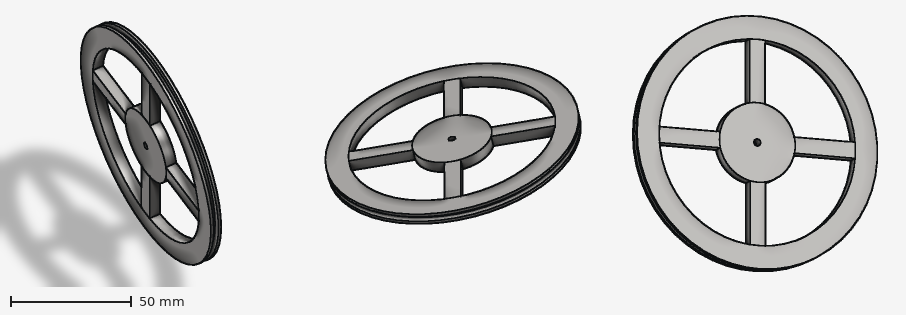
import cadquery as cq

OUTER_DIAMETER = 107.1
WIDTH = 5.0

RIM_INNER_DIAMETER = 87.4
GROOVE_DIAMETER = 101.6
GROOVE_WIDTH = 2.2

HUB_DIAMETER = 33.7
BORE_DIAMETER = 2.9

SPOKE_WIDTH = 6.9
RIGHT_SPOKE_Z = -0.2
LEFT_SPOKE_Z = 0.2
TOP_SPOKE_X = 0.0
BOTTOM_SPOKE_X = -0.2

SPOKE_PLACES = [
    (0, RIGHT_SPOKE_Z),
    (90, -TOP_SPOKE_X),
    (180, -LEFT_SPOKE_Z),
    (270, BOTTOM_SPOKE_X),
]


def make_ring(outer_diameter, inner_diameter, width):
    """Plain ring about the Y axis, centred on the XZ plane."""
    return (
        cq.Workplane("XZ", origin=(0, -width / 2, 0))
        .circle(outer_diameter / 2)
        .circle(inner_diameter / 2)
        .extrude(-width)
    )


def make_rim():
    """Rim with a square-bottomed groove between two flanges."""
    groove = make_ring(OUTER_DIAMETER, GROOVE_DIAMETER, GROOVE_WIDTH)
    return make_ring(OUTER_DIAMETER, RIM_INNER_DIAMETER, WIDTH).cut(groove)


def make_hub():
    """Hub disc with its central bore."""
    return make_ring(HUB_DIAMETER, BORE_DIAMETER, WIDTH)


def make_spoke(angle, shift):
    """Bar whose curved ends fit the hub and the inside of the rim."""
    length = RIM_INNER_DIAMETER / 2
    bar = (
        cq.Workplane("XY")
        .box(length, WIDTH, SPOKE_WIDTH)
        .translate((length / 2, 0, shift))
        .rotate((0, 0, 0), (0, 1, 0), -angle)
    )
    return bar.intersect(make_ring(RIM_INNER_DIAMETER, HUB_DIAMETER, WIDTH))


rim = make_rim()
hub = make_hub()
spokes = [make_spoke(angle, shift) for angle, shift in SPOKE_PLACES]

result = cq.Compound.makeCompound(
    [rim.val(), hub.val(), *[spoke.val() for spoke in spokes]]
)